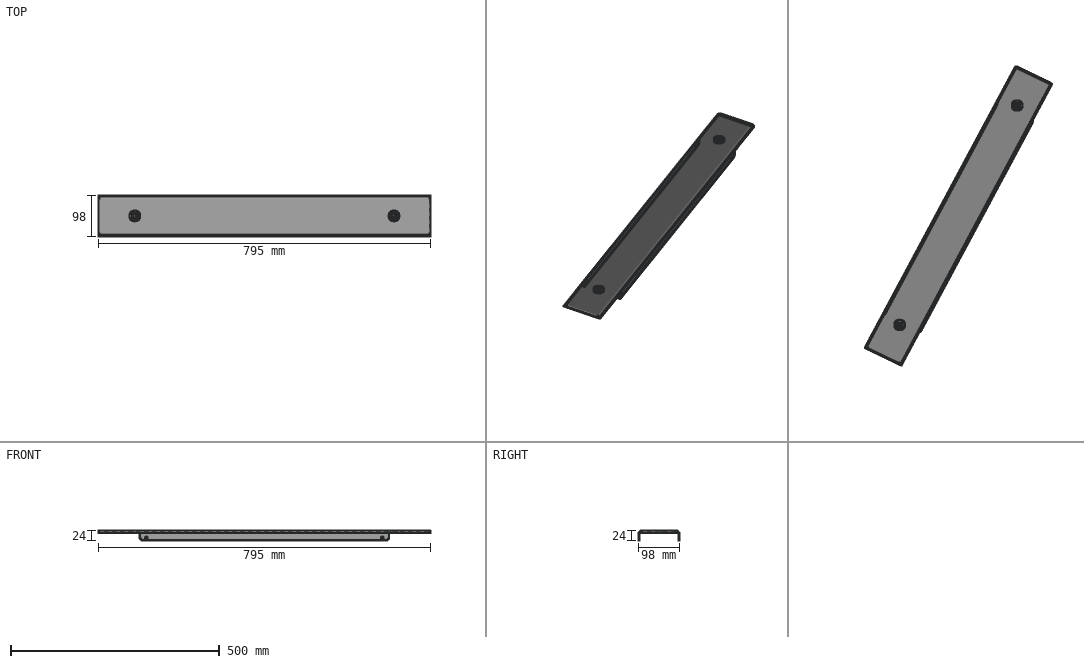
import cadquery as cq
import math

length = 795.0
width = 98.0
height = 24.0
sheet = 2.0

cover_depth = 6.0
outer_bend_radius = 2.7
inner_bend_radius = outer_bend_radius - sheet
rim_z = height - cover_depth

flange_length = 597.0
flange_corner = 5.5
flange_hole_spacing = 564.5
flange_hole_diameter = 5.0
flange_hole_height = 6.0

seat_spacing = 620.0
seat_diameter = 25.5
seat_floor_diameter = 14.0
seat_depth = 4.0
seat_lip_width = 3.0
seat_lip_drop = 1.5
screw_hole_diameter = 8.0


def cover_block(block_length, block_width, top_z, bend_radius):
    """Solid bar with 45 degree long sides and rounded upper bends."""
    depth = top_z - rim_z
    half_width = block_width / 2
    half_top = half_width - depth
    cross_section = (
        cq.Workplane("YZ")
        .moveTo(-half_width, rim_z)
        .lineTo(-half_top, top_z)
        .lineTo(half_top, top_z)
        .lineTo(half_width, rim_z)
        .close()
        .extrude(block_length / 2, both=True)
        .edges("|X and >Z")
        .fillet(bend_radius)
    )
    rounded_ends = (
        cq.Workplane("XY", origin=(0, 0, rim_z))
        .box(block_length, block_width, depth, centered=(True, True, False))
        .edges("|Y and >Z")
        .fillet(bend_radius)
    )
    return cross_section.intersect(rounded_ends)


def cover():
    outside = cover_block(length, width, height, outer_bend_radius)
    inner_width = width - 2 * sheet * math.sqrt(2)
    inside = cover_block(length - 2 * sheet, inner_width, height - sheet, inner_bend_radius)
    return outside.cut(inside)


def flange(side):
    """Upright strip along one long side, with cut lower corners; side is +1 or -1."""
    return (
        cq.Workplane("XY", origin=(0, side * (width - sheet) / 2, 0))
        .box(flange_length, sheet, rim_z, centered=(True, True, False))
        .edges("|Y and <Z")
        .chamfer(flange_corner)
    )


def flange_holes():
    half_spacing = flange_hole_spacing / 2
    return (
        cq.Workplane("XZ", origin=(0, 0, flange_hole_height))
        .pushPoints([(-half_spacing, 0), (half_spacing, 0)])
        .circle(flange_hole_diameter / 2)
        .extrude(width, both=True)
    )


def dish(centre_x, top_z):
    """Round dish with a shallow lip above a steeper cone, open side at top_z."""
    radius = seat_diameter / 2
    return (
        cq.Workplane("XZ", origin=(centre_x, 0, top_z))
        .lineTo(radius, 0)
        .lineTo(radius - seat_lip_width, -seat_lip_drop)
        .lineTo(seat_floor_diameter / 2, -seat_depth)
        .lineTo(0, -seat_depth)
        .close()
        .revolve(360, (0, 0), (0, 1))
    )


def screw_hole(centre_x):
    return cq.Workplane("XY").center(centre_x, 0).circle(screw_hole_diameter / 2).extrude(height)


result = cover()
for side in (-1, 1):
    result = result.union(flange(side))
result = result.cut(flange_holes())

for centre_x in (-seat_spacing / 2, seat_spacing / 2):
    result = result.union(dish(centre_x, height - sheet))
    result = result.cut(dish(centre_x, height))
    result = result.cut(screw_hole(centre_x))